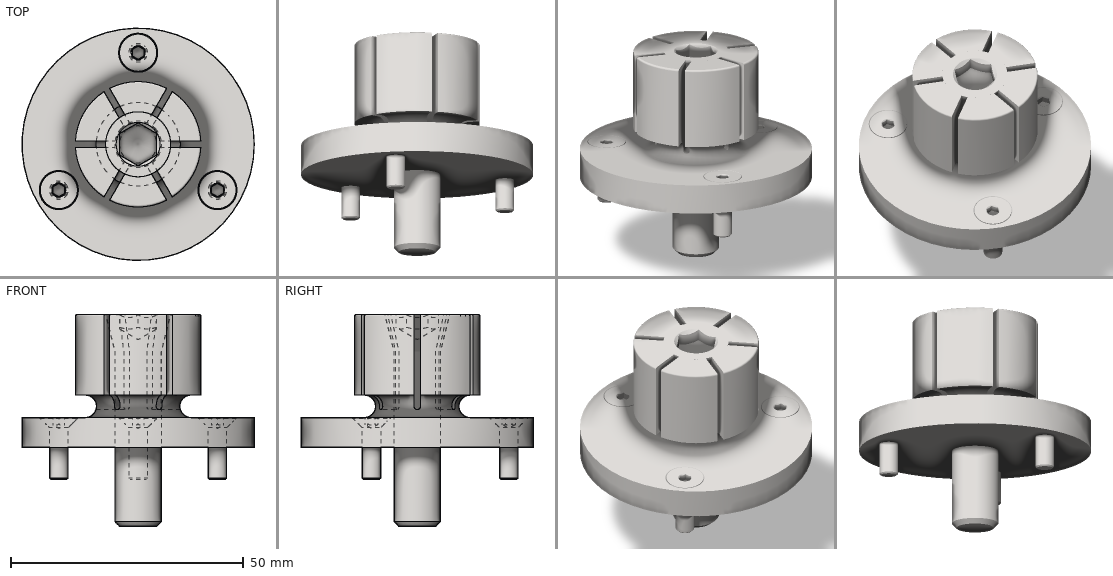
import cadquery as cq
import math

FLANGE_RADIUS = 25
FLANGE_THICKNESS = 6.4
HUB_RADIUS = 13.5
HUB_TOP = 28.6
HUB_EDGE_FILLET = 0.4
NECK_RADIUS = 9
GROOVE_RADIUS = 2.4
GROOVE_CENTRE_Z = FLANGE_THICKNESS + GROOVE_RADIUS

SLOT_WIDTH = 1.4
SLOT_COUNT = 6

TAPER_TOP_RADIUS = 7
TAPER_HEIGHT = 8.1
CLAMP_SHANK_RADIUS = 5
CLAMP_TIP_Z = -17
CLAMP_TIP_CHAMFER = 1
CLAMP_HEX_FLATS = 8
CLAMP_HEX_DEPTH = 2.8
CLAMP_HEX_LEAD_IN = 0.1

MOUNT_COUNT = 3
MOUNT_CIRCLE_RADIUS = 19.7
MOUNT_FIRST_ANGLE = 90
MOUNT_SHANK_RADIUS = 2
MOUNT_HEAD_RADIUS = 4
MOUNT_RIM_HEIGHT = 0.2
MOUNT_TIP_Z = -6.9
MOUNT_TIP_CHAMFER = 0.3
MOUNT_HEX_FLATS = 2.5
MOUNT_HEX_DEPTH = 1.5
MOUNT_HEX_LEAD_IN = 0.05

SOCKET_POINT_ANGLE = 120

COUNTERSINK_RADIUS = MOUNT_HEAD_RADIUS + MOUNT_RIM_HEIGHT
COUNTERSINK_DEPTH = COUNTERSINK_RADIUS - MOUNT_SHANK_RADIUS


def revolve_profile(profile):
    """Turn a closed (radius, z) profile about the Z axis."""
    return profile.close().revolve(360, (0, 0, 0), (0, 1, 0))


def cone(bottom_radius, top_radius, bottom_z, top_z):
    """Cone about the Z axis between two levels; a zero bottom radius gives a sharp point."""
    outline = cq.Workplane("XZ").moveTo(0, bottom_z)
    if bottom_radius > 0:
        outline = outline.lineTo(bottom_radius, bottom_z)
    return revolve_profile(outline.lineTo(top_radius, top_z).lineTo(0, top_z))


def hex_socket(flats, depth, lead_in, top_z):
    """Cutter for a hex socket with corners on +-Y, a conical floor and a 45 degree lead-in.

    The lead-in is the radial room of its mouth beyond the hex corners.
    """
    corner_radius = flats / 2 / math.cos(math.pi / 6)
    point_slope = math.tan(math.radians(90 - SOCKET_POINT_ANGLE / 2))
    floor_z = top_z - depth
    tip_z = floor_z - corner_radius * point_slope
    prism = (
        cq.Workplane("XY", origin=(0, 0, tip_z))
        .transformed(rotate=(0, 0, 90))
        .polygon(6, 2 * corner_radius)
        .extrude(top_z - tip_z)
    )
    pointed_bore = revolve_profile(
        cq.Workplane("XZ")
        .moveTo(0, tip_z)
        .lineTo(corner_radius, floor_z)
        .lineTo(corner_radius, top_z)
        .lineTo(0, top_z)
    )
    mouth_radius = corner_radius + lead_in
    lead_in_cone = cone(0, mouth_radius, top_z - mouth_radius, top_z)
    return prism.intersect(pointed_bore).union(lead_in_cone)


def mount_places():
    """Centres of the mounting screws on their bolt circle."""
    places = []
    for index in range(MOUNT_COUNT):
        angle = math.radians(MOUNT_FIRST_ANGLE + index * 360 / MOUNT_COUNT)
        x = MOUNT_CIRCLE_RADIUS * math.cos(angle)
        y = MOUNT_CIRCLE_RADIUS * math.sin(angle)
        places.append((x, y, 0))
    return places


def hub_slots():
    """Radial slots, open at the top, with round ends centred at mid-height of the groove."""
    half_width = SLOT_WIDTH / 2
    slot = (
        cq.Workplane("YZ")
        .moveTo(-half_width, HUB_TOP)
        .lineTo(-half_width, GROOVE_CENTRE_Z)
        .threePointArc((0, GROOVE_CENTRE_Z - half_width), (half_width, GROOVE_CENTRE_Z))
        .lineTo(half_width, HUB_TOP)
        .close()
        .extrude(HUB_RADIUS)
    )
    slots = slot
    for index in range(1, SLOT_COUNT):
        slots = slots.union(slot.rotate((0, 0, 0), (0, 0, 1), index * 360 / SLOT_COUNT))
    return slots


def make_body():
    """Flange with the slotted expanding hub, the tapered bore and the countersunk holes."""
    groove_edge_radius = NECK_RADIUS + GROOVE_RADIUS
    body = revolve_profile(
        cq.Workplane("XZ")
        .lineTo(FLANGE_RADIUS, 0)
        .lineTo(FLANGE_RADIUS, FLANGE_THICKNESS)
        .lineTo(groove_edge_radius, FLANGE_THICKNESS)
        .threePointArc(
            (NECK_RADIUS, GROOVE_CENTRE_Z),
            (groove_edge_radius, GROOVE_CENTRE_Z + GROOVE_RADIUS),
        )
        .lineTo(HUB_RADIUS, GROOVE_CENTRE_Z + GROOVE_RADIUS)
        .lineTo(HUB_RADIUS, HUB_TOP)
        .lineTo(0, HUB_TOP)
    )
    body = body.faces(">Z").edges().fillet(HUB_EDGE_FILLET)

    bore = cq.Workplane("XY").circle(CLAMP_SHANK_RADIUS).extrude(HUB_TOP)
    taper = cone(CLAMP_SHANK_RADIUS, TAPER_TOP_RADIUS, HUB_TOP - TAPER_HEIGHT, HUB_TOP)
    body = body.cut(hub_slots()).cut(bore).cut(taper)

    countersunk_hole = (
        cq.Workplane("XY")
        .circle(MOUNT_SHANK_RADIUS)
        .extrude(FLANGE_THICKNESS)
        .union(
            cone(
                MOUNT_SHANK_RADIUS,
                COUNTERSINK_RADIUS,
                FLANGE_THICKNESS - COUNTERSINK_DEPTH,
                FLANGE_THICKNESS,
            )
        )
    )
    for place in mount_places():
        body = body.cut(countersunk_hole.translate(place))
    return body


def make_clamp_screw():
    """Central screw whose tapered head spreads the hub segments."""
    screw = revolve_profile(
        cq.Workplane("XZ")
        .moveTo(0, CLAMP_TIP_Z)
        .lineTo(CLAMP_SHANK_RADIUS - CLAMP_TIP_CHAMFER, CLAMP_TIP_Z)
        .lineTo(CLAMP_SHANK_RADIUS, CLAMP_TIP_Z + CLAMP_TIP_CHAMFER)
        .lineTo(CLAMP_SHANK_RADIUS, HUB_TOP - TAPER_HEIGHT)
        .lineTo(TAPER_TOP_RADIUS, HUB_TOP)
        .lineTo(0, HUB_TOP)
    )
    return screw.cut(hex_socket(CLAMP_HEX_FLATS, CLAMP_HEX_DEPTH, CLAMP_HEX_LEAD_IN, HUB_TOP))


def make_mount_screw():
    """Flat-head screw on the Z axis, its head flush with the top of the flange."""
    screw = revolve_profile(
        cq.Workplane("XZ")
        .moveTo(0, MOUNT_TIP_Z)
        .lineTo(MOUNT_SHANK_RADIUS - MOUNT_TIP_CHAMFER, MOUNT_TIP_Z)
        .lineTo(MOUNT_SHANK_RADIUS, MOUNT_TIP_Z + MOUNT_TIP_CHAMFER)
        .lineTo(MOUNT_SHANK_RADIUS, FLANGE_THICKNESS - COUNTERSINK_DEPTH)
        .lineTo(MOUNT_HEAD_RADIUS, FLANGE_THICKNESS - MOUNT_RIM_HEIGHT)
        .lineTo(MOUNT_HEAD_RADIUS, FLANGE_THICKNESS)
        .lineTo(0, FLANGE_THICKNESS)
    )
    return screw.cut(hex_socket(MOUNT_HEX_FLATS, MOUNT_HEX_DEPTH, MOUNT_HEX_LEAD_IN, FLANGE_THICKNESS))


body = make_body()
clamp_screw = make_clamp_screw()
mount_screw = make_mount_screw()
mount_screws = [mount_screw.translate(place) for place in mount_places()]

result = cq.Compound.makeCompound(
    [body.val(), clamp_screw.val(), *[screw.val() for screw in mount_screws]]
)